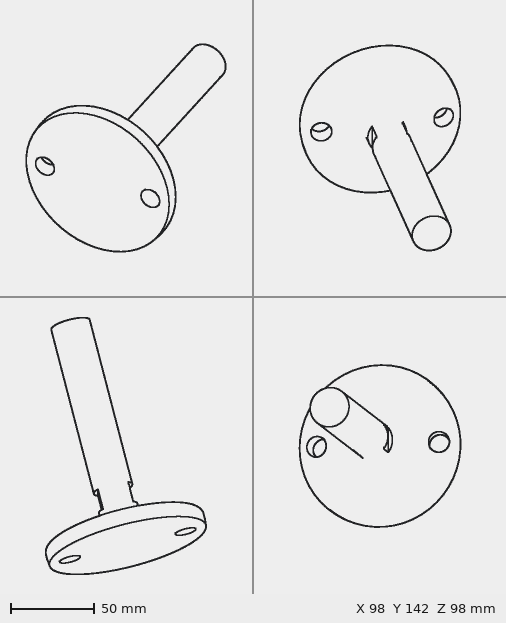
import cadquery as cq
import math

total_length = 142.0
foot_diameter = 98.0
stem_diameter = 24.0

underside_radius = 48.5
draft_height = 4.1
rim_height = 7.1
rim_round = 3.0
cone_base_radius = 44.0
cone_angle = 9.7
neck_height = 16.6
neck_round = 1.1

flats_across = 18.7
flats_start = 23.9
flats_length = 12.5

hole_diameter = 12.5
hole_offset = 35.8

foot_radius = foot_diameter / 2
stem_radius = stem_diameter / 2
slope = math.radians(cone_angle)


def make_body():
    """Revolve the half section of the foot and stem about the Y axis."""
    rim_top = rim_height + rim_round
    neck_radius = stem_radius + neck_round
    neck_base = rim_top + (cone_base_radius - neck_radius) * math.tan(slope)
    return (
        cq.Workplane("XY")
        .lineTo(underside_radius, 0)
        .lineTo(foot_radius, draft_height)
        .lineTo(foot_radius, rim_height)
        .tangentArcPoint((-rim_round, rim_round))
        .lineTo(cone_base_radius, rim_top)
        .lineTo(neck_radius, neck_base)
        .tangentArcPoint((stem_radius, neck_height), relative=False)
        .lineTo(stem_radius, total_length)
        .lineTo(0, total_length)
        .close()
        .revolve(360, (0, 0, 0), (0, 1, 0))
    )


def make_flat_cutter(side):
    """Block that removes one side of the stem, leaving a wrench flat."""
    center_x = side * (flats_across / 2 + stem_radius / 2)
    center_y = flats_start + flats_length / 2
    block = cq.Workplane("XY").box(stem_radius, flats_length, stem_diameter)
    return block.translate((center_x, center_y, 0))


def make_hole_cutter(side):
    """Cylinder through the foot, leaning outward by the cone angle."""
    direction = cq.Vector(side * math.sin(slope), math.cos(slope), 0)
    center = cq.Vector(side * hole_offset, 0, 0)
    start = center - direction * neck_height
    return cq.Workplane(cq.Solid.makeCylinder(hole_diameter / 2, 2 * neck_height, start, direction))


result = make_body()
for side in (-1, 1):
    result = result.cut(make_flat_cutter(side))
    result = result.cut(make_hole_cutter(side))